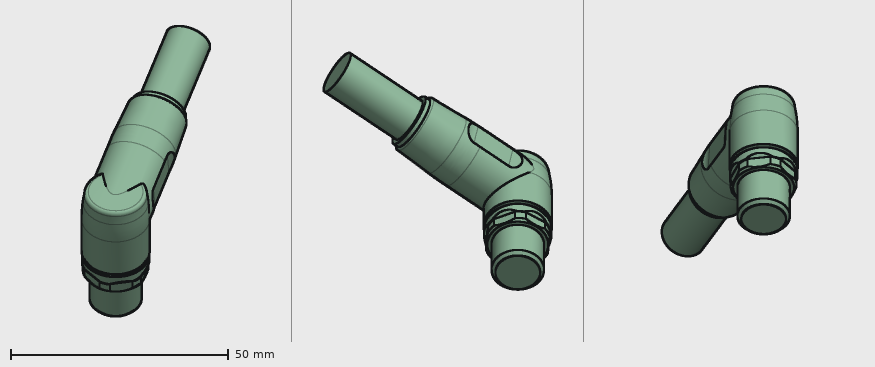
import cadquery as cq
import math

stem_radius = 6.1
stem_chamfer = 0.9
stem_lip = 0.2
nut_bottom = 9.9
nut_radius = 7.6
nut_chamfer = 0.6
nut_apothem = 7.15
flat_count = 6
flange_bottom = 12.75
flange_top = 15.65
flange_radius = 7.8
flange_chamfer = 0.35
relief_height = 0.95
neck_radius = 6.45

body_bottom = 16.3
body_diameter = 15.8
body_radius = body_diameter / 2
body_arc_start = 26.75
body_cone_start = 32.0
body_cone_radius = 7.55
body_cone_top = 34.3
body_cone_top_radius = 7.25
dome_edge_radius = 6.3
dome_edge_height = 35.25
dome_top = 35.8

arm_tilt = 10.0
arm_axis_height = 28.1
arm_start = -0.6
arm_radius = 7.8
arm_arc_start = 15.1
arm_cone_start = 20.3
arm_cone_radius = 7.7
arm_end = 29.75
arm_end_radius = 7.2
arm_end_fillet = 0.5
collar_end = 31.0
collar_radius = 6.55
cable_end = 51.5
cable_radius = 5.35

grip_offset = 7.0
grip_floor_start = 6.95
grip_floor_end = 16.85
grip_end_radius = 5.1
cutter_clearance = 0.6


def tangent_arc_middle(start_radius, end_radius, start, end):
    """Middle point of an arc that leaves a cylinder tangentially: (radius, station)."""
    drop = start_radius - end_radius
    length = end - start
    arc_radius = (length**2 + drop**2) / (2 * drop)
    half_angle = math.asin(length / arc_radius) / 2
    return (
        start_radius - arc_radius * (1 - math.cos(half_angle)),
        start + arc_radius * math.sin(half_angle),
    )


def revolve_about_z(profile):
    return profile.close().revolve(360, (0, 0, 0), (0, 1, 0))


def make_stem_and_neck():
    profile = (
        cq.Workplane("XZ")
        .lineTo(stem_radius - stem_chamfer, 0)
        .lineTo(stem_radius - stem_chamfer, stem_lip)
        .lineTo(stem_radius, stem_lip + stem_chamfer)
        .lineTo(stem_radius, nut_bottom)
        .lineTo(neck_radius, nut_bottom)
        .lineTo(neck_radius, body_bottom)
        .lineTo(0, body_bottom)
    )
    return revolve_about_z(profile)


def make_nut():
    profile = (
        cq.Workplane("XZ")
        .moveTo(0, nut_bottom)
        .lineTo(nut_radius - nut_chamfer, nut_bottom)
        .lineTo(nut_radius, nut_bottom + nut_chamfer)
        .lineTo(nut_radius, flange_bottom)
        .lineTo(flange_radius, flange_bottom)
        .lineTo(flange_radius, flange_top - flange_chamfer)
        .lineTo(flange_radius - flange_chamfer, flange_top)
        .lineTo(0, flange_top)
    )
    nut = revolve_about_z(profile)

    relief_reach = flange_radius - nut_apothem
    flat_cutter = (
        cq.Workplane("XZ")
        .moveTo(nut_apothem, nut_bottom)
        .lineTo(nut_apothem, flange_bottom)
        .lineTo(nut_apothem + relief_reach, flange_bottom + relief_height)
        .lineTo(nut_apothem + relief_reach, nut_bottom)
        .close()
        .extrude(flange_radius, both=True)
    )
    for index in range(flat_count):
        angle = index * 360 / flat_count
        nut = nut.cut(flat_cutter.rotate((0, 0, 0), (0, 0, 1), angle))
    return nut


def make_body():
    arc_middle = tangent_arc_middle(body_radius, body_cone_radius, body_arc_start, body_cone_start)
    shoulder_middle = (
        body_cone_top_radius - (body_cone_top_radius - dome_edge_radius) * (1 - math.sqrt(0.5)),
        body_cone_top + (dome_edge_height - body_cone_top) * math.sqrt(0.5),
    )
    dome_rise = dome_top - dome_edge_height
    dome_radius = (dome_edge_radius**2 + dome_rise**2) / (2 * dome_rise)
    half_reach = dome_edge_radius / 2
    dome_middle = (
        half_reach,
        dome_top - dome_radius + math.sqrt(dome_radius**2 - half_reach**2),
    )
    profile = (
        cq.Workplane("XZ")
        .moveTo(0, body_bottom)
        .lineTo(body_radius, body_bottom)
        .lineTo(body_radius, body_arc_start)
        .threePointArc(arc_middle, (body_cone_radius, body_cone_start))
        .lineTo(body_cone_top_radius, body_cone_top)
        .threePointArc(shoulder_middle, (dome_edge_radius, dome_edge_height))
        .threePointArc(dome_middle, (0, dome_top))
    )
    return revolve_about_z(profile)


def make_grip_cutter():
    """Recess for the +X side of an arm standing along Z."""
    outer = arm_radius + cutter_clearance
    rise = outer - grip_offset
    run_out = math.sqrt(grip_end_radius**2 - (grip_end_radius - rise) ** 2)
    half_angle = math.asin(run_out / grip_end_radius) / 2
    middle_x = grip_offset + grip_end_radius * (1 - math.cos(half_angle))
    middle_run = grip_end_radius * math.sin(half_angle)
    return (
        cq.Workplane("XZ")
        .moveTo(grip_offset, grip_floor_start)
        .lineTo(grip_offset, grip_floor_end)
        .threePointArc((middle_x, grip_floor_end + middle_run), (outer, grip_floor_end + run_out))
        .lineTo(outer, grip_floor_start - run_out)
        .threePointArc((middle_x, grip_floor_start - middle_run), (grip_offset, grip_floor_start))
        .close()
        .extrude(arm_radius, both=True)
    )


def make_arm():
    """Arm, collar and cable, built upright and then tipped toward +Y."""
    arc_middle = tangent_arc_middle(arm_radius, arm_cone_radius, arm_arc_start, arm_cone_start)
    profile = (
        cq.Workplane("XZ")
        .moveTo(0, arm_start)
        .lineTo(arm_radius, arm_start)
        .lineTo(arm_radius, arm_arc_start)
        .threePointArc(arc_middle, (arm_cone_radius, arm_cone_start))
        .lineTo(arm_end_radius, arm_end)
        .lineTo(0, arm_end)
    )
    arm = revolve_about_z(profile).faces(">Z").edges().fillet(arm_end_fillet)
    collar = cq.Workplane("XY").circle(collar_radius).extrude(collar_end)
    cable = cq.Workplane("XY").circle(cable_radius).extrude(cable_end)
    arm = arm.union(collar).union(cable)

    grip_cutter = make_grip_cutter()
    arm = arm.cut(grip_cutter).cut(grip_cutter.mirror("YZ"))
    return arm.rotate((0, 0, 0), (1, 0, 0), arm_tilt - 90).translate((0, 0, arm_axis_height))


result = make_stem_and_neck().union(make_nut()).union(make_body()).union(make_arm())